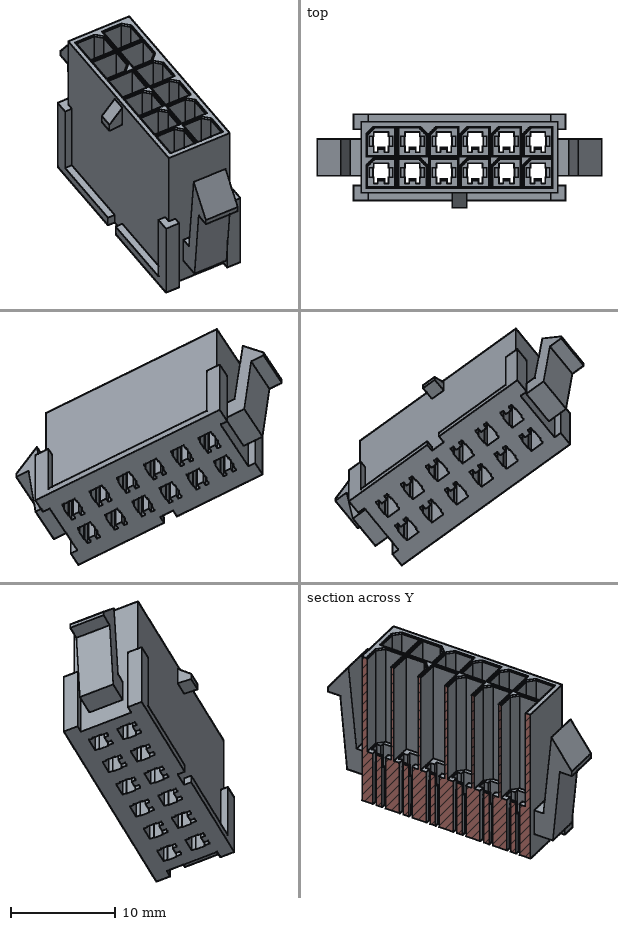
import cadquery as cq

BODY_LENGTH = 18.9
BODY_WIDTH = 6.8
BODY_HEIGHT = 16.9

FRAME_LENGTH = 20.38
FRAME_WIDTH = 8.31
POST_HEIGHT = 8.5
POST_LENGTH = 1.42
POST_WIDTH = 1.48
RAIL_HEIGHT = 1.0

KEY_WIDTH = 1.42
KEY_REACH_FROM_CENTRE = 4.85
KEY_TOP_DROP = 0.5
KEY_NOSE_DROP = 2.05
KEY_ROOT_DROP = 2.74
KEY_LIP_DROP = 2.87

LATCH_WIDTH = 3.55
LATCH_REACH = 13.68
LATCH_TIP = (11.38, 14.52)
LATCH_HOOK_TOP = 11.35
LATCH_HOOK_BOTTOM = 10.8
LATCH_HOOK_INNER_X = 12.3
LATCH_FOOT_OUTER = (11.55, 2.5)
LATCH_FOOT_INNER = (10.48, 5.28)

COLUMNS = 6
ROWS = 2
PITCH = 3.0
CELL_SIZE = 2.65
CELL_DEPTH = 10.95
CELL_CORNER_CUT = 0.68
MOUTH_CHAMFER = 0.1
SQUARE_CELL = (2, 0)
MIRRORED_COLUMN = 1

HOLE_LENGTH = 1.4
HOLE_WIDTH = 1.91
HOLE_CENTRE_Y = -0.03
WAIST_LENGTH = 1.53
SIDE_NOTCH_LENGTH = 2.27
SIDE_NOTCH_WIDTH = 0.93
SIDE_NOTCH_CENTRE_Y = 0.05
SIDE_NOTCH_DEPTH = 1.37
TAB_LENGTH = 0.65
TAB_WIDTH = 0.45
TAB_STEP_WIDTH = 0.25
TAB_STEP_DROP = 1.37

CELL_FLOOR = BODY_HEIGHT - CELL_DEPTH


def block(length, width, height, x=0.0, y=0.0, z=0.0):
    """Box centred on (x, y) with its underside at z."""
    solid = cq.Workplane("XY").box(length, width, height, centered=(True, True, False))
    return solid.translate((x, y, z))


def make_frame():
    rails = block(FRAME_LENGTH - 2 * POST_LENGTH, FRAME_WIDTH, RAIL_HEIGHT)
    rail_gap_width = (FRAME_WIDTH - BODY_WIDTH) / 2
    rail_gap = block(KEY_WIDTH, rail_gap_width, RAIL_HEIGHT, y=-(BODY_WIDTH + rail_gap_width) / 2)
    frame = rails.cut(rail_gap)
    for side_x in (-1, 1):
        for side_y in (-1, 1):
            post_x = side_x * (FRAME_LENGTH - POST_LENGTH) / 2
            post_y = side_y * (FRAME_WIDTH - POST_WIDTH) / 2
            frame = frame.union(block(POST_LENGTH, POST_WIDTH, POST_HEIGHT, post_x, post_y))
    return frame


def make_key():
    front = -BODY_WIDTH / 2
    nose = -KEY_REACH_FROM_CENTRE
    outline = [
        (0, BODY_HEIGHT - KEY_TOP_DROP),
        (front, BODY_HEIGHT - KEY_TOP_DROP),
        (nose, BODY_HEIGHT - KEY_NOSE_DROP),
        (nose, BODY_HEIGHT - KEY_LIP_DROP),
        (front, BODY_HEIGHT - KEY_ROOT_DROP),
        (0, BODY_HEIGHT - KEY_ROOT_DROP),
    ]
    return cq.Workplane("YZ").polyline(outline).close().extrude(KEY_WIDTH / 2, both=True)


def make_latch():
    """Latch arm on the +X end: a foot on the body and a leaning arm with a hook."""
    end = BODY_LENGTH / 2
    outline = [
        (end, LATCH_FOOT_OUTER[1]),
        LATCH_FOOT_OUTER,
        (LATCH_HOOK_INNER_X, LATCH_HOOK_BOTTOM),
        (LATCH_REACH, LATCH_HOOK_BOTTOM),
        (LATCH_REACH, LATCH_HOOK_TOP),
        LATCH_TIP,
        LATCH_FOOT_INNER,
        (end, LATCH_FOOT_INNER[1]),
    ]
    return cq.Workplane("XZ").polyline(outline).close().extrude(LATCH_WIDTH / 2, both=True)


def cell_outline(size, z, cut_corner, mirrored):
    """Square outline at height z, with its left back corner cut unless cut_corner is false."""
    half = size / 2
    points = [(half, half), (half, -half), (-half, -half)]
    if cut_corner:
        points += [(-half, half - CELL_CORNER_CUT), (-half + CELL_CORNER_CUT, half)]
    else:
        points += [(-half, half)]
    if mirrored:
        points = [(-x, y) for x, y in points]
    return cq.Workplane("XY", origin=(0, 0, z)).polyline(points).close()


def make_floor_opening():
    """Opening with a stepped tab left standing on its front side and a ledge on either side."""
    slot_bottom = HOLE_CENTRE_Y - HOLE_WIDTH / 2
    slot = block(HOLE_LENGTH, HOLE_WIDTH, CELL_FLOOR, y=HOLE_CENTRE_Y)
    waist = block(WAIST_LENGTH, SIDE_NOTCH_WIDTH, CELL_FLOOR, y=SIDE_NOTCH_CENTRE_Y)
    side_notch = block(
        SIDE_NOTCH_LENGTH,
        SIDE_NOTCH_WIDTH,
        SIDE_NOTCH_DEPTH,
        y=SIDE_NOTCH_CENTRE_Y,
        z=CELL_FLOOR - SIDE_NOTCH_DEPTH,
    )
    tab = block(TAB_LENGTH, TAB_WIDTH, CELL_FLOOR - TAB_STEP_DROP, y=slot_bottom + TAB_WIDTH / 2)
    tab_top = block(TAB_LENGTH, TAB_STEP_WIDTH, CELL_FLOOR, y=slot_bottom + TAB_STEP_WIDTH / 2)
    return slot.union(waist).union(side_notch).cut(tab).cut(tab_top)


def make_cell_void(cut_corner, mirrored):
    """Pocket with a chamfered mouth and a keyed opening through its floor."""
    pocket = cell_outline(CELL_SIZE, CELL_FLOOR, cut_corner, mirrored).extrude(CELL_DEPTH)
    throat = cell_outline(CELL_SIZE, BODY_HEIGHT - MOUTH_CHAMFER, cut_corner, mirrored).wires().val()
    rim = cell_outline(CELL_SIZE + 2 * MOUTH_CHAMFER, BODY_HEIGHT, cut_corner, mirrored).wires().val()
    mouth = cq.Workplane(cq.Solid.makeLoft([throat, rim], True))
    return pocket.union(mouth).union(make_floor_opening())


result = block(BODY_LENGTH, BODY_WIDTH, BODY_HEIGHT)
result = result.union(make_frame()).union(make_key())

latch = make_latch()
result = result.union(latch).union(latch.mirror("YZ"))

for column in range(COLUMNS):
    for row in range(ROWS):
        cell_x = (column - (COLUMNS - 1) / 2) * PITCH
        cell_y = (row - (ROWS - 1) / 2) * PITCH
        void = make_cell_void((column, row) != SQUARE_CELL, column == MIRRORED_COLUMN)
        result = result.cut(void.translate((cell_x, cell_y, 0)))